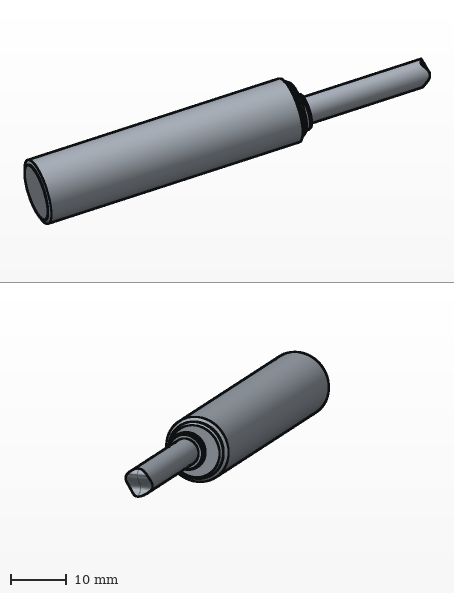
import cadquery as cq

overall_length = 75.6
front_y = -overall_length / 2
cable_end_y = overall_length / 2

housing_diameter = 12.0
chamfer_small_diameter = 10.5
housing_rear_y = 12.2
front_chamfer_length = 0.3
rear_chamfer_length = 0.45
face_protrusion = 0.1
housing_front_y = front_y + face_protrusion

face_diameter = 10.3
face_thickness = 1.5

plug_diameter = chamfer_small_diameter
plug_rear_y = 13.1
plug_depth = 3.0
plug_chamfer_length = 0.6
plug_chamfer_width = 0.45
collar_diameter = 6.8
collar_rear_y = 14.2
collar_chamfer_length = 0.45
collar_chamfer_width = 0.2
cable_offset_x = 1.3

cable_diameter = 5.0
cable_radius = cable_diameter / 2
cable_seat_depth = 2.3
cable_start_y = collar_rear_y - cable_seat_depth

crest_height = 1.4
notch_height = -1.0
notch_depth = 1.5
top_setback = 0.8


def cylinder_along_y(diameter, start_y, end_y, center_x=0.0):
    plane = cq.Plane(origin=(center_x, start_y, 0), xDir=(1, 0, 0), normal=(0, 1, 0))
    return cq.Workplane(plane).circle(diameter / 2).extrude(end_y - start_y)


def make_face():
    """Disc that fills the front recess, standing slightly proud of the housing."""
    return cylinder_along_y(face_diameter, front_y, front_y + face_thickness)


def make_plug():
    """Stepped rear plug with a blind hole for the cable."""
    base = cylinder_along_y(plug_diameter, housing_rear_y - plug_depth, plug_rear_y)
    base = base.faces(">Y").chamfer(plug_chamfer_length, plug_chamfer_width)
    collar = cylinder_along_y(collar_diameter, housing_rear_y, collar_rear_y, cable_offset_x)
    collar = collar.faces(">Y").chamfer(collar_chamfer_length, collar_chamfer_width)
    cable_hole = cylinder_along_y(cable_diameter, cable_start_y, collar_rear_y, cable_offset_x)
    return base.union(collar).cut(cable_hole)


def make_housing():
    """Cylinder with chamfered ends, recessed at the front for the face and at the rear for the plug."""
    housing_radius = housing_diameter / 2
    chamfer_small_radius = chamfer_small_diameter / 2
    face_radius = face_diameter / 2
    plug_radius = plug_diameter / 2
    profile = [
        (0, front_y + face_thickness),
        (face_radius, front_y + face_thickness),
        (face_radius, housing_front_y),
        (chamfer_small_radius, housing_front_y),
        (housing_radius, housing_front_y + front_chamfer_length),
        (housing_radius, housing_rear_y - rear_chamfer_length),
        (plug_radius, housing_rear_y),
        (plug_radius, housing_rear_y - plug_depth),
        (0, housing_rear_y - plug_depth),
    ]
    return cq.Workplane("XY").polyline(profile).close().revolve(360, (0, 0), (0, 1))


def make_cable():
    """Round cable whose free end is broken off along a wave in the YZ plane."""
    cable = cylinder_along_y(cable_diameter, cable_start_y, cable_end_y, cable_offset_x)
    wave = [
        (cable_end_y - top_setback, cable_radius),
        (cable_end_y, crest_height),
        (cable_end_y - notch_depth, notch_height),
        (cable_end_y, -cable_radius),
    ]
    kept_side = (
        cq.Workplane("YZ", origin=(cable_offset_x, 0, 0))
        .moveTo(cable_start_y, cable_radius)
        .lineTo(*wave[0])
        .spline(wave[1:], includeCurrent=True)
        .lineTo(cable_start_y, -cable_radius)
        .close()
        .extrude(cable_radius, both=True)
    )
    return cable.intersect(kept_side)


housing = make_housing()
sensing_face = make_face()
plug = make_plug()
cable = make_cable()

result = cq.Compound.makeCompound([housing.val(), sensing_face.val(), plug.val(), cable.val()])